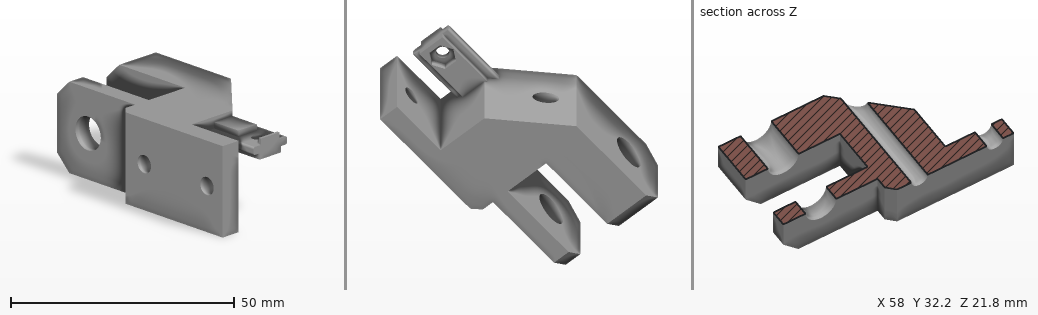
import cadquery as cq
import math

length = 58.0
width = 32.2
height = 21.8

axis_y = 15.0
fork_depth = 25.0
fork_gap = 11.4
fork_bottom = axis_y - fork_gap / 2
fork_top = axis_y + fork_gap / 2
wall = 5.0
front_corner = 2.0
body_end = 43.0
slope_start = 28.0
fork_tip_chamfer = 4.0

pivot_diameter = 8.1
pivot_x = 10.0
hole_z = 11.0
bolt_diameter = 4.3
bolt_positions_x = (33.0, 53.0)

tongue_width = 10.6
tongue_top = 19.0
tongue_thickness = 1.9
tongue_round = 0.5
tongue_root = 38.0
pad_width = 5.8
pad_top = 20.5
pad_gap = 6.5
screw_x = 54.0
pad_end = screw_x - pad_gap / 2
lip_start = screw_x + pad_gap / 2

screw_diameter = 3.0
nut_flats = 5.5
nut_sides = 6
nut_half_angle = 180 / nut_sides
screw_grip = 1.4
nut_floor = tongue_top - screw_grip
rib_width = 6.8
rib_depth = 1.5
rib_bottom = tongue_top - tongue_thickness - rib_depth


def box(x_range, y_width, z_range):
    """Block centred on the fork axis in Y."""
    x_size = x_range[1] - x_range[0]
    z_size = z_range[1] - z_range[0]
    corner = (x_range[0], axis_y - y_width / 2, z_range[0])
    return cq.Workplane("XY").box(x_size, y_width, z_size, centered=False).translate(corner)


def make_body():
    """Fork, sloped body and rear wall, extruded from the plan outline."""
    outline = [
        (0, width),
        (slope_start, width),
        (body_end, axis_y + pad_width / 2),
        (body_end, wall),
        (length, wall),
        (length, 0),
        (fork_depth + front_corner, 0),
        (fork_depth, front_corner),
        (fork_depth, wall),
        (0, wall),
        (0, fork_bottom),
        (fork_depth, fork_bottom),
        (fork_depth, fork_top),
        (0, fork_top),
    ]
    body = cq.Workplane("XY").polyline(outline).close().extrude(height)
    return body.faces("<X").edges("|Y").chamfer(fork_tip_chamfer)


def cross_hole(x, diameter):
    """Cutter along Y through the whole width."""
    plane = cq.Workplane("XZ", origin=(x, 0, hole_z))
    return plane.circle(diameter / 2).extrude(-width)


def make_tongue():
    """Rounded plate with pad and lip above and a nut rib below."""
    plate = box((tongue_root, length), tongue_width, (tongue_top - tongue_thickness, tongue_top))
    plate = plate.edges("|X").fillet(tongue_round)
    pad = box((tongue_root, pad_end), pad_width, (nut_floor, pad_top))
    lip = box((lip_start, length), pad_width, (nut_floor, pad_top))
    rib = box((tongue_root, length), rib_width, (rib_bottom, nut_floor))
    return plate.union(pad).union(lip).union(rib)


def screw_and_nut():
    """Cutter for the vertical screw hole and the hexagonal nut pocket."""
    screw = cq.Workplane("XY", origin=(screw_x, axis_y, 0)).circle(screw_diameter / 2).extrude(height)
    nut_corners = nut_flats / math.cos(math.radians(nut_half_angle))
    nut = cq.Workplane("XY").polygon(nut_sides, nut_corners).extrude(nut_floor)
    nut = nut.rotate((0, 0, 0), (0, 0, 1), nut_half_angle).translate((screw_x, axis_y, 0))
    return screw.union(nut)


tongue = make_tongue().cut(screw_and_nut())
result = make_body().union(tongue)
result = result.cut(cross_hole(pivot_x, pivot_diameter))
for bolt_x in bolt_positions_x:
    result = result.cut(cross_hole(bolt_x, bolt_diameter))